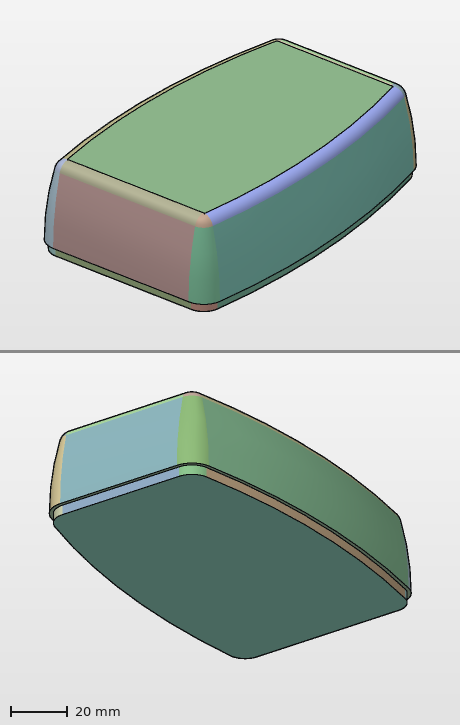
import cadquery as cq
import math

length = 130.0
half_width = 42.6
side_radius = 291.2
widest_y = -12.1
front_corner_radius = 8.6
back_corner_radius = 9.2

total_height = 36.0
lip_height = 3.8
lip_inset = 1.4
wall_radius = 113.8
top_fillet_radius = 4.5
panel_thickness = 1.3

half_length = length / 2
rim_to_top = total_height - lip_height
side_centre_x = half_width - side_radius

fillet_centre_height = rim_to_top - top_fillet_radius
wall_lean = math.asin(fillet_centre_height / (wall_radius - top_fillet_radius))
top_inset = wall_radius - (wall_radius - top_fillet_radius) * math.cos(wall_lean)


def corner_points(end, radius, inset):
    """Side tangent point, middle and end tangent point of the +X corner arc at one end (-1 or 1 in Y)."""
    centre_y = end * (half_length - radius)
    rise = centre_y - widest_y
    reach = math.sqrt((side_radius - radius) ** 2 - rise**2)
    centre_x = side_centre_x + reach
    side_angle = math.atan2(rise, reach)
    end_angle = end * math.pi / 2
    angles = (side_angle, (side_angle + end_angle) / 2, end_angle)
    arc_radius = radius - inset
    return [(centre_x + arc_radius * math.cos(a), centre_y + arc_radius * math.sin(a)) for a in angles]


def mirrored(point):
    return (-point[0], point[1])


def outline(inset, z):
    """Closed plan outline of the rim moved inward by an inset, at height z."""
    front_side, front_middle, front_end = corner_points(-1, front_corner_radius, inset)
    back_side, back_middle, back_end = corner_points(1, back_corner_radius, inset)
    widest = (half_width - inset, widest_y)
    return (
        cq.Workplane("XY", origin=(0, 0, z))
        .moveTo(0, front_end[1])
        .lineTo(*front_end)
        .threePointArc(front_middle, front_side)
        .threePointArc(widest, back_side)
        .threePointArc(back_middle, back_end)
        .lineTo(*mirrored(back_end))
        .threePointArc(mirrored(back_middle), mirrored(back_side))
        .threePointArc(mirrored(widest), mirrored(front_side))
        .threePointArc(mirrored(front_middle), mirrored(front_end))
        .close()
    )


def wall_point(angle):
    """Point (Y, Z) of the -Y wall section on the bulge, by its angle above the rim."""
    inset = wall_radius * (1 - math.cos(angle))
    return (inset - half_length, lip_height + wall_radius * math.sin(angle))


def fillet_point(angle):
    """Point (Y, Z) of the -Y wall section on the top fillet, by its angle above horizontal."""
    inset = top_inset - top_fillet_radius * math.cos(angle)
    height = fillet_centre_height + top_fillet_radius * math.sin(angle)
    return (inset - half_length, lip_height + height)


def make_wall():
    """Wall section carried around the rim outline."""
    section = (
        cq.Workplane("YZ")
        .moveTo(*wall_point(0))
        .threePointArc(wall_point(wall_lean / 2), wall_point(wall_lean))
        .threePointArc(fillet_point((wall_lean + math.pi / 2) / 2), fillet_point(math.pi / 2))
        .lineTo(top_inset - half_length, lip_height)
        .close()
    )
    return section.sweep(outline(0, lip_height), transition="right")


def make_housing():
    core = outline(top_inset, lip_height).extrude(rim_to_top)
    lip = outline(lip_inset, 0).extrude(lip_height)
    return make_wall().union(core).union(lip)


def make_panel():
    front_side = corner_points(-1, front_corner_radius, top_inset)[0]
    back_side = corner_points(1, back_corner_radius, top_inset)[0]
    widest = (half_width - top_inset, widest_y)
    return (
        cq.Workplane("XY", origin=(0, 0, total_height - panel_thickness))
        .moveTo(*front_side)
        .threePointArc(widest, back_side)
        .lineTo(*mirrored(back_side))
        .threePointArc(mirrored(widest), mirrored(front_side))
        .close()
        .extrude(panel_thickness)
    )


panel = make_panel()
housing = make_housing().cut(panel).solids()

result = cq.Compound.makeCompound([housing.val(), panel.val()])